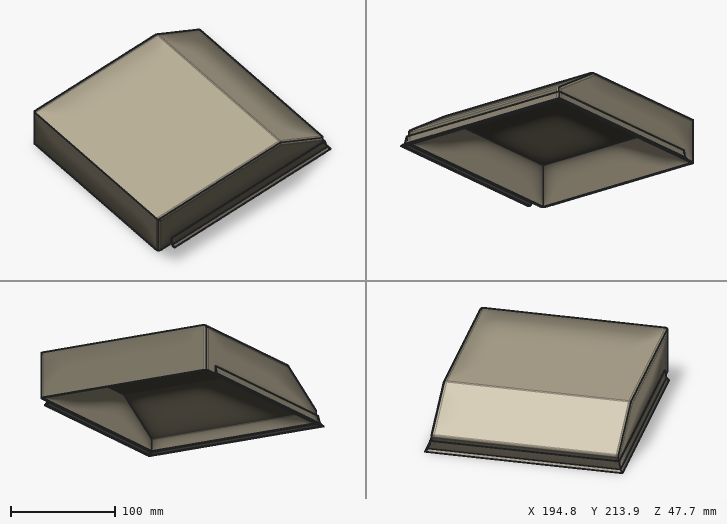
import cadquery as cq
import math

overall_width = 194.8
overall_length = 213.9
overall_height = 47.7

skirt_reach = 4.5
skirt_knee = 2.0
skirt_ledge = 0.5
skirt_lip = 2.4
skirt_heel = 2.1
skirt_height = 10.3
skirt_front_gap = 16.7

housing_base = 2.5
wall = 2.1
edge_radius = 3.2
slope_angle = 30.5
slope_length = 54.1

housing_half_width = overall_width / 2 - skirt_reach
housing_front = -overall_length / 2
housing_back = overall_length / 2 - skirt_reach
slope_top = housing_back - slope_length


def side_outline(x, inset, bottom, bend_radius):
    """Side profile of the housing at position x, moved inwards by inset, with two rounded bends."""
    tilt = math.radians(slope_angle)
    top = overall_height - inset
    back = housing_back - inset
    bend_y = slope_top - inset * math.tan(tilt / 2)
    foot_z = top - (back - bend_y) * math.tan(tilt)

    def along_slope(y, z, distance):
        """Point at a distance down the slope from (y, z)."""
        return y + distance * math.cos(tilt), z - distance * math.sin(tilt)

    def bend_middle(y, z, turn, direction):
        """Middle of the arc that rounds the corner (y, z); direction points at the arc centre."""
        depth = bend_radius * (1 / math.cos(turn / 2) - 1)
        return y + depth * math.cos(direction), z + depth * math.sin(direction)

    roof_turn = tilt
    rear_turn = math.pi / 2 - tilt
    roof_setback = bend_radius * math.tan(roof_turn / 2)
    rear_setback = bend_radius * math.tan(rear_turn / 2)
    roof_middle = bend_middle(bend_y, top, roof_turn, -math.pi / 2 - roof_turn / 2)
    rear_middle = bend_middle(back, foot_z, rear_turn, math.pi + rear_turn / 2)

    return (
        cq.Workplane("YZ", origin=(x, 0, 0))
        .moveTo(housing_front + inset, bottom)
        .lineTo(housing_front + inset, top)
        .lineTo(bend_y - roof_setback, top)
        .threePointArc(roof_middle, along_slope(bend_y, top, roof_setback))
        .lineTo(*along_slope(back, foot_z, -rear_setback))
        .threePointArc(rear_middle, (back, foot_z - rear_setback))
        .lineTo(back, bottom)
        .close()
    )


def housing_shell():
    """Hollow housing, open underneath, with both side faces rounded into the rest."""
    outer = side_outline(-housing_half_width, 0, housing_base, edge_radius).extrude(2 * housing_half_width)
    outer = outer.faces("<X or >X").edges("not <Z").fillet(edge_radius)
    inner_half_width = housing_half_width - wall
    cavity = side_outline(-inner_half_width, wall, 0, edge_radius - wall).extrude(2 * inner_half_width)
    return outer.cut(cavity)


def mitre_block(side):
    """Slab of one wall thickness at a side (-1 or 1) whose rim slopes inwards at 45 degrees."""
    outer_x = side * housing_half_width
    inner_x = side * (housing_half_width - wall)
    rim = side_outline(outer_x, 0, 0, edge_radius).wire().val()
    inner_rim = side_outline(inner_x, wall, 0, edge_radius - wall).wire().val()
    return cq.Workplane(cq.Solid.makeLoft([rim, inner_rim], True))


def side_panel(side):
    """Flat side wall, mitred along its front, top, slope and back."""
    return housing_shell().intersect(mitre_block(side))


def folded_cover():
    """Front, roof, slope and back of the housing in one folded sheet."""
    return housing_shell().cut(mitre_block(-1)).cut(mitre_block(1))


def skirt_section(outward, along, origin):
    """Closed strip section, facing outward from the wall and ready to extrude along the wall."""
    plane = cq.Plane(origin=origin, xDir=outward, normal=along)
    outline = [
        (0, skirt_heel),
        (0, skirt_height),
        (skirt_ledge, skirt_height),
        (skirt_knee, housing_base),
        (skirt_reach, 0),
        (skirt_reach - skirt_lip, 0),
    ]
    return cq.Workplane(plane).polyline(outline).close()


def corner_wedge(side):
    """Region behind the 45 degree mitre plane at one rear corner."""
    x = side * housing_half_width
    y = housing_back
    size = overall_length
    outline = [
        (x - side * size, y - size),
        (x + side * size, y + size),
        (x - side * size, y + size),
    ]
    return cq.Workplane("XY").polyline(outline).close().extrude(overall_height)


def side_skirt(side):
    """Strip along one side, mitred at the rear corner."""
    front = housing_front + skirt_front_gap
    back = overall_length / 2
    start = (side * housing_half_width, front if side < 0 else back, 0)
    strip = skirt_section((side, 0, 0), (0, -side, 0), start).extrude(back - front)
    return strip.cut(corner_wedge(side))


def rear_skirt():
    """Strip along the back, mitred at both corners."""
    start = (-overall_width / 2, housing_back, 0)
    strip = skirt_section((0, 1, 0), (1, 0, 0), start).extrude(overall_width)
    return strip.intersect(corner_wedge(-1)).intersect(corner_wedge(1))


cover = folded_cover()
side_panels = [side_panel(side) for side in (-1, 1)]
side_skirts = [side_skirt(side) for side in (-1, 1)]
back_skirt = rear_skirt()

bodies = [cover, *side_panels, *side_skirts, back_skirt]
result = cq.Compound.makeCompound([body.solids().val() for body in bodies])